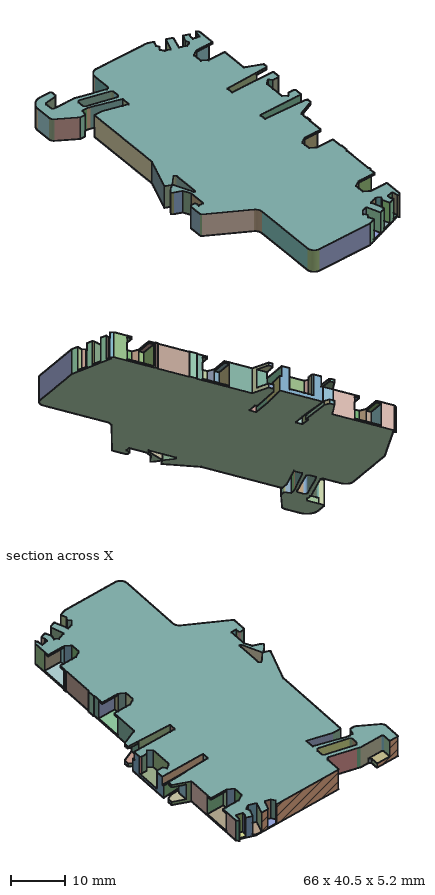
import cadquery as cq

LENGTH = 66.0
HEIGHT = 40.5
THICKNESS = 5.2
HALF_LENGTH = LENGTH / 2

TOP_EDGE = 37.05
SHOULDER = 27.4
BELLY = 13.95
RAIL_SEAT = 7.0
FOOT_TOP = 4.95
FOOT_WEB_TOP = 5.4

NOTCH_FLOOR = 0.35
POCKET_FLOOR = 0.85
FOOT_WEB = 1.2
TAB_FLANGE_TOP = 3.1
CLIP_SKIN = 0.6
CLIP_SKIN_BOTTOM = THICKNESS - CLIP_SKIN

CLIP_CENTRE = -8.05
TAB_HALF_WIDTH = 4.15
CLIP_SLOT_BOTTOM = 30.9
CLIP_SLOT_HALF_SPAN = 5.57
FINGER_CORE_TOP = 38.0

OPENING_CENTRES = (-23.97, 8.05, 23.97)
OPENING_WIDTH = 3.57
OPENING_BOTTOM_WIDTH = 2.05
OPENING_DEPTH = 5.0
OPENING_BEVEL_HEIGHT = 1.25
OPENING_UNDERCUT = 1.0
OPENING_SKIN = 0.4

EDGE_BUMPS = ((12.9, 1.6), (20.6, 0.55))
BUMP_HEIGHT = 0.15

CORNER_RADIUS = 1.6
FOOT_RADIUS = 2.4
FOOT_HEEL_RADIUS = 1.2
SLOT_RADIUS = 0.5
EDGE_RADIUS = 0.35


def prism(points, bottom=0.0, top=THICKNESS):
    """Upright prism over a closed polygon, from one Z level to another."""
    return cq.Workplane("XY").workplane(offset=bottom).polyline(points).close().extrude(top - bottom)


def block(x_min, x_max, y_min, y_max, bottom, top):
    """Upright box between the given limits."""
    return prism([(x_min, y_min), (x_max, y_min), (x_max, y_max), (x_min, y_max)], bottom, top)


def mirrored(points, centre=0.0):
    """Points reflected about the line X = centre."""
    return [(2 * centre - x, y) for x, y in points]


def round_corner(solid, point, radius):
    """Round the upright edge that passes through an outline point."""
    x, y = point
    reach = 0.05
    corner = cq.selectors.BoxSelector((x - reach, y - reach, -1), (x + reach, y + reach, THICKNESS + 1))
    return solid.edges("|Z").edges(corner).fillet(radius)


def make_housing():
    """Housing plate with the sloping shoulders, the rail hook and the rail spring."""
    shoulder = [(-HALF_LENGTH, SHOULDER), (-29.7, 36.4), (-30.15, 36.6), (-29.55, TOP_EDGE)]
    belly_left = (-HALF_LENGTH, BELLY)
    belly_right = (HALF_LENGTH, BELLY)
    hook_heel = (11.7, 4.6)
    hook_root = (17.1, BELLY)
    hook_tip = (8.5, 4.6)
    hook_lip = (8.5, 5.9)
    spring_underside = [(-5.8, RAIL_SEAT), (1.2, 4.4), (1.72, 5.68), (2.8, 4.55), (3.4, 4.2)]
    spring_back = [(3.7, 4.7), (4.3, 6.2), (5.8, RAIL_SEAT)]
    seat_corner = [(-21.35, BELLY), (-22.8, 8.8), (-22.8, RAIL_SEAT)]
    outline = (
        shoulder
        + mirrored(shoulder)[::-1]
        + [belly_right, hook_root, hook_heel, hook_tip, hook_lip, (9.45, 5.9), (9.45, RAIL_SEAT)]
        + spring_back[::-1]
        + spring_underside[::-1]
        + seat_corner[::-1]
        + [belly_left]
    )
    housing = prism(outline)
    for corner in (belly_left, belly_right):
        housing = round_corner(housing, corner, CORNER_RADIUS)
    for corner in (hook_tip, hook_lip, hook_heel):
        housing = round_corner(housing, corner, EDGE_RADIUS)
    return round_corner(housing, hook_root, CORNER_RADIUS)


def make_foot():
    """Flexible rail foot: a leaning arm that ends in a hooked toe."""
    toe_top = (-HALF_LENGTH, FOOT_TOP)
    toe_bottom = (-HALF_LENGTH, 0.0)
    heel_bottom = (-26.75, 0.0)
    heel_top = (-23.9, 5.8)
    catch_top = (-31.45, FOOT_TOP)
    catch = [(-28.9, 2.0), (-31.0, 2.0)]
    overlap = 0.5
    outline = [
        (-27.2, BELLY + overlap),
        (-27.45, BELLY),
        (-27.2, 13.5),
        (-28.7, 7.85),
        (-28.9, 7.2),
        *catch,
        catch_top,
        toe_top,
        toe_bottom,
        heel_bottom,
        (-23.9, 4.6),
        heel_top,
        (-25.2, 6.1),
        (-25.2, 7.2),
        (-25.05, 7.85),
        (-23.2, BELLY),
        (-23.2, BELLY + overlap),
    ]
    foot = prism(outline)
    foot = round_corner(foot, toe_bottom, FOOT_RADIUS)
    foot = round_corner(foot, heel_bottom, FOOT_HEEL_RADIUS)
    for corner in (toe_top, catch_top, heel_top, *catch):
        foot = round_corner(foot, corner, EDGE_RADIUS)
    web_outline = [(-31.7, 1.8), (-28.5, 1.8), (-28.5, FOOT_WEB_TOP), (-28.9, FOOT_WEB_TOP)]
    web_outline += [(-29.3, FOOT_TOP), (-31.7, FOOT_TOP)]
    web = prism(web_outline, 0.0, FOOT_WEB)
    return foot.union(web)


def make_foot_slot():
    """Leaning slot that splits the foot arm into two springs."""
    slot = prism([(-26.2, BELLY), (-24.1, BELLY), (-25.85, RAIL_SEAT), (-28.0, RAIL_SEAT)])
    return slot.edges("|Z").fillet(SLOT_RADIUS)


def make_spring_window():
    """Triangular window above the rail spring."""
    corner = (-0.6, 8.0)
    window = prism([corner, (5.8, 8.0), (5.8, 7.65), (1.72, 5.85)])
    return round_corner(window, corner, EDGE_RADIUS)


def make_clip_slots():
    """Two slots that free the marker tab from the fingers, widest at the bottom."""
    overlap = 1.0
    slot = [
        (CLIP_CENTRE - TAB_HALF_WIDTH, CLIP_SLOT_BOTTOM),
        (CLIP_CENTRE - CLIP_SLOT_HALF_SPAN, CLIP_SLOT_BOTTOM),
        (-14.0, HEIGHT + overlap),
        (CLIP_CENTRE - TAB_HALF_WIDTH, HEIGHT + overlap),
    ]
    return prism(slot).union(prism(mirrored(slot, CLIP_CENTRE)))


def make_fingers():
    """Spring fingers; their lower plates lean closer to the tab than the top skins."""
    root = 36.0
    finger = [
        (-17.0, root),
        (-16.5, TOP_EDGE),
        (-15.0, HEIGHT),
        (-14.1, HEIGHT),
        (-13.5, 39.5),
        (-13.5, root),
    ]
    rib = [(-14.4, HEIGHT), (-13.95, HEIGHT), (-13.4, 39.5), (-13.2, 33.0), (-14.0, 33.0)]
    sides = [(finger, rib), (mirrored(finger, CLIP_CENTRE), mirrored(rib, CLIP_CENTRE))]
    fingers = cq.Workplane("XY")
    ribs = cq.Workplane("XY")
    for finger_points, rib_points in sides:
        fingers = fingers.union(prism(finger_points))
        ribs = ribs.union(prism(rib_points, 0.0, POCKET_FLOOR))
    return fingers, ribs


def make_finger_gap():
    """Space between the lower and upper plates at the finger tips."""
    reach = 10.0
    left = CLIP_CENTRE - reach
    right = CLIP_CENTRE + reach
    return block(left, right, FINGER_CORE_TOP, HEIGHT, POCKET_FLOOR, CLIP_SKIN_BOTTOM)


def make_tab():
    """Marker tab with a flared lower part and an open, undercut pocket."""
    root = 30.0
    flare = 0.4
    flare_start = 35.0
    left = CLIP_CENTRE - TAB_HALF_WIDTH
    right = CLIP_CENTRE + TAB_HALF_WIDTH
    tab = block(left, right, root, HEIGHT, 0.0, THICKNESS)
    flange = [(left, flare_start), (right, flare_start), (right + flare, HEIGHT), (left - flare, HEIGHT)]
    pocket_left = [(-10.6, HEIGHT), (-10.35, 40.2), (-10.35, 38.95), (-11.05, 38.4), (-10.3, 37.45)]
    pocket = pocket_left + mirrored(pocket_left, CLIP_CENTRE)[::-1]
    return tab.union(prism(flange, 0.0, TAB_FLANGE_TOP)).cut(prism(pocket, POCKET_FLOOR))


def make_conductor_openings():
    """Bevelled openings in the top edge, wider under a thin skin and closed by a thin floor."""
    bottom = TOP_EDGE - OPENING_DEPTH
    bevel = bottom + OPENING_BEVEL_HEIGHT
    undercut_half = OPENING_WIDTH / 2 + OPENING_UNDERCUT
    undercut_top = THICKNESS - OPENING_SKIN
    openings = cq.Workplane("XY")
    for centre in OPENING_CENTRES:
        half = [
            (centre - OPENING_WIDTH / 2, TOP_EDGE),
            (centre - OPENING_WIDTH / 2, bevel),
            (centre - OPENING_BOTTOM_WIDTH / 2, bottom),
        ]
        openings = openings.union(prism(half + mirrored(half, centre)[::-1], NOTCH_FLOOR))
        undercut = block(
            centre - undercut_half, centre + undercut_half, bevel, TOP_EDGE, NOTCH_FLOOR, undercut_top
        )
        openings = openings.union(undercut)
    return openings


def make_shoulder_notches():
    """Three notches in each sloping shoulder, closed by a thin floor."""
    upper = [(-30.1, 36.35), (-29.65, 36.35), (-28.5, 36.2), (-28.8, 34.85), (-29.5, 34.85), (-30.3, 35.3)]
    middle = [
        (-30.8, 34.0),
        (-29.15, 33.35),
        (-28.35, 33.65),
        (-27.85, 32.8),
        (-28.4, 31.25),
        (-30.95, 32.1),
        (-31.8, 31.95),
    ]
    lower = [
        (-32.0, 30.95),
        (-28.9, 29.75),
        (-29.3, 28.6),
        (-30.1, 28.05),
        (-30.75, 28.6),
        (-31.4, 28.25),
        (-32.9, 28.9),
    ]
    notches = cq.Workplane("XY")
    for points in (upper, middle, lower):
        notches = notches.union(prism(points, NOTCH_FLOOR))
        notches = notches.union(prism(mirrored(points), NOTCH_FLOOR))
    return notches


def make_edge_bumps():
    """Low bumps that stand on the top edge."""
    root = TOP_EDGE - 1.0
    bumps = cq.Workplane("XY")
    for centre, width in EDGE_BUMPS:
        bump = block(centre - width / 2, centre + width / 2, root, TOP_EDGE + BUMP_HEIGHT, 0.0, THICKNESS)
        bumps = bumps.union(bump)
    return bumps


fingers, ribs = make_fingers()

result = make_housing().union(make_foot()).union(fingers)
result = result.cut(make_clip_slots()).union(ribs).cut(make_finger_gap())
result = result.union(make_tab())
result = result.cut(make_conductor_openings()).cut(make_shoulder_notches())
result = result.cut(make_foot_slot()).cut(make_spring_window())
result = result.union(make_edge_bumps())